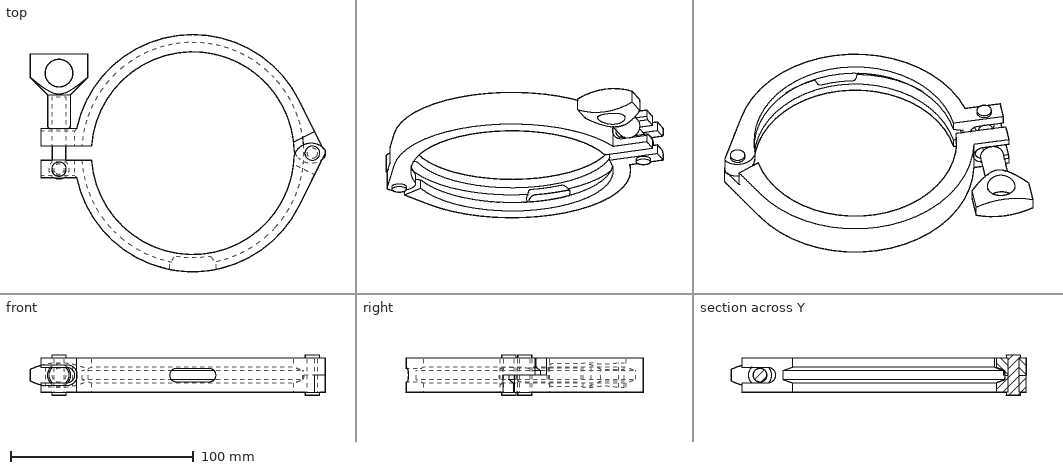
import cadquery as cq
import math

RING_OUTER_RADIUS = 65.0
RING_INNER_RADIUS = 55.5
RING_HEIGHT = 19.0

GROOVE_RADIUS = 60.8
GROOVE_ROOT_HEIGHT = 4.9
GROOVE_FLANK_ANGLE = 20.0

HINGE_X = 65.5
HINGE_END_ANGLE = 26.4
HINGE_FLANK_LENGTH = 19.1
KNUCKLE_CROWN = (65.2, -5.5)
KNUCKLE_TIP_Y = -1.0
KNUCKLE_TIP_FILLET = 2.5
KNUCKLE_INNER_ANGLE = 1.5

ARM_LEFT_X = -83.2
ARM_GAP = 7.8
ARM_THICKNESS = 9.7
SLOT_HEIGHT = 8.4
SLOT_END_X = -69.0
SLOT_CHAMFER = 1.5

WALL_SLOT_LENGTH = 25.2
WALL_SLOT_HEIGHT = 7.5

PIN_HEAD_DIAMETER = 8.0
PIN_SHANK_DIAMETER = 5.7
PIN_LENGTH = 22.2

BOLT_X = -73.3
EYE_DIAMETER = 11.0
ROD_DIAMETER = 7.6
ROD_END_Y = 30.7

NUT_DIAMETER = 12.6
NUT_END_FILLET = 2.1
NUT_SEAT_DEPTH = 0.5
WING_WIDTH = 31.7
WING_THICKNESS = 13.6
WING_TIP_THICKNESS = 6.5
WING_BASE_Y = 31.9
WING_TOP_Y = 54.4
WING_HOLE_DIAMETER = 15.0
WING_HOLE_Y = 43.8

ARM_INNER_Y = ARM_GAP / 2
ARM_OUTER_Y = ARM_INNER_Y + ARM_THICKNESS
BOLT_PIN_Y = -(ARM_INNER_Y + ARM_OUTER_Y) / 2
X_AXIS = ((0, 0, 0), (1, 0, 0))


def polar(radius, angle):
    """Point at a radius and an angle in degrees."""
    return (radius * math.cos(math.radians(angle)), radius * math.sin(math.radians(angle)))


def flank_point(distance):
    """Point on the straight hinge flank, measured from where it leaves the ring."""
    x, y = polar(RING_OUTER_RADIUS, HINGE_END_ANGLE)
    along_x, along_y = polar(distance, HINGE_END_ANGLE - 90)
    return (x + along_x, y + along_y)


def half_layer(inner_end, outer_end, end_crown=None):
    """Half-height plate of the rear half, ended at the hinge by a line or an arc."""
    inner_start = (-math.sqrt(RING_INNER_RADIUS**2 - ARM_INNER_Y**2), ARM_INNER_Y)
    outer_finish = (-math.sqrt(RING_OUTER_RADIUS**2 - ARM_OUTER_Y**2), ARM_OUTER_Y)
    outline = (
        cq.Workplane("XY")
        .moveTo(ARM_LEFT_X, ARM_INNER_Y)
        .lineTo(*inner_start)
        .threePointArc((0, RING_INNER_RADIUS), inner_end)
    )
    if end_crown:
        outline = outline.threePointArc(end_crown, outer_end)
    else:
        outline = outline.lineTo(*outer_end)
    outline = (
        outline.lineTo(*flank_point(0))
        .threePointArc((0, RING_OUTER_RADIUS), outer_finish)
        .lineTo(ARM_LEFT_X, ARM_OUTER_Y)
        .close()
    )
    return outline.extrude(RING_HEIGHT / 2)


def ring_groove():
    """Revolved cutter for the V groove, open to the ring bore."""
    root = GROOVE_ROOT_HEIGHT / 2
    mouth_radius = RING_INNER_RADIUS - 1.6
    mouth = root + (GROOVE_RADIUS - mouth_radius) * math.tan(math.radians(GROOVE_FLANK_ANGLE))
    return (
        cq.Workplane("XZ")
        .polyline([(mouth_radius, -mouth), (GROOVE_RADIUS, -root), (GROOVE_RADIUS, root), (mouth_radius, mouth)])
        .close()
        .revolve(360, (0, 0), (0, 1))
    )


def slot_profile(y, offset):
    """Open-ended slot outline in a plane of constant y, widened by an offset."""
    half_height = SLOT_HEIGHT / 2 + offset
    open_x = ARM_LEFT_X - 1.6
    return (
        cq.Workplane("XZ", origin=(0, y, 0))
        .moveTo(open_x, -half_height)
        .lineTo(SLOT_END_X, -half_height)
        .threePointArc((SLOT_END_X + half_height, 0), (SLOT_END_X, half_height))
        .lineTo(open_x, half_height)
        .close()
    )


def arm_slot():
    """Bolt slot through an arm, chamfered at the arm's outer face."""
    through = slot_profile(ARM_OUTER_Y, 0).extrude(ARM_THICKNESS)
    chamfer = slot_profile(ARM_OUTER_Y, SLOT_CHAMFER).extrude(SLOT_CHAMFER, taper=45)
    return through.union(chamfer)


def pin(x, y):
    """Round pin parallel to Z, with a flat head on each face of the ring."""
    shank = cq.Workplane("XY").circle(PIN_SHANK_DIAMETER / 2).extrude(PIN_LENGTH / 2, both=True)
    heads = (
        cq.Workplane("XY")
        .circle(PIN_HEAD_DIAMETER / 2)
        .extrude(PIN_LENGTH / 2, both=True)
        .cut(cq.Workplane("XY").box(PIN_HEAD_DIAMETER, PIN_HEAD_DIAMETER, RING_HEIGHT))
    )
    return shank.union(heads).translate((x, y, 0))


def clamp_half():
    """Rear half: square shoulder above the mid plane, hinge knuckle below it."""
    shoulder_outer = flank_point(HINGE_FLANK_LENGTH)
    inner_angle = HINGE_END_ANGLE - math.degrees(math.asin(HINGE_FLANK_LENGTH / RING_INNER_RADIUS))
    shoulder_inner = polar(RING_INNER_RADIUS, inner_angle)
    shoulder = half_layer(shoulder_inner, shoulder_outer)

    flank_start_y = flank_point(0)[1]
    tip = flank_point((flank_start_y - KNUCKLE_TIP_Y) / math.cos(math.radians(HINGE_END_ANGLE)))
    inner_end = polar(RING_INNER_RADIUS, KNUCKLE_INNER_ANGLE)
    knuckle = half_layer(inner_end, tip, KNUCKLE_CROWN)
    knuckle = knuckle.edges("|Z").edges(">X").fillet(KNUCKLE_TIP_FILLET)
    body = shoulder.union(knuckle.translate((0, 0, -RING_HEIGHT / 2)))
    return body.cut(ring_groove()).cut(arm_slot()).cut(pin(HINGE_X, 0))


def wall_slot():
    """Round-ended slot through the ring wall on the -Y side."""
    return cq.Workplane("XZ").slot2D(WALL_SLOT_LENGTH, WALL_SLOT_HEIGHT).extrude(RING_OUTER_RADIUS)


def eye_bolt():
    """Rod with a flat-sided ball eye that fits between the slot walls."""
    ball = cq.Workplane("XY").sphere(EYE_DIAMETER / 2)
    flats = cq.Workplane("XY").box(EYE_DIAMETER, EYE_DIAMETER, SLOT_HEIGHT)
    rod = cq.Workplane("XZ").circle(ROD_DIAMETER / 2).extrude(BOLT_PIN_Y - ROD_END_Y)
    bolt = ball.intersect(flats).union(rod).translate((BOLT_X, BOLT_PIN_Y, 0))
    return bolt.cut(pin(BOLT_X, BOLT_PIN_Y))


def wing_nut():
    """Barrel with a domed seat and a broad wing pierced by a round hole."""
    half_width = WING_WIDTH / 2
    half_tip = WING_TIP_THICKNESS / 2
    half_thickness = WING_THICKNESS / 2
    barrel_radius = NUT_DIAMETER / 2
    seat_y = ARM_OUTER_Y - NUT_SEAT_DEPTH

    wing = (
        cq.Workplane("XZ", origin=(0, WING_BASE_Y, 0))
        .moveTo(-half_width, -half_tip)
        .threePointArc((0, -half_thickness), (half_width, -half_tip))
        .lineTo(half_width, half_tip)
        .threePointArc((0, half_thickness), (-half_width, half_tip))
        .close()
        .extrude(WING_BASE_Y - WING_TOP_Y)
    )
    wing_height = WING_TOP_Y - WING_BASE_Y
    cone = (
        cq.Workplane("XY")
        .polyline([
            (0, WING_BASE_Y),
            (barrel_radius, WING_BASE_Y),
            (barrel_radius + wing_height, WING_TOP_Y),
            (0, WING_TOP_Y),
        ])
        .close()
        .revolve(360, (0, 0), (0, 1))
    )
    barrel = (
        cq.Workplane("XZ", origin=(0, seat_y, 0))
        .circle(barrel_radius)
        .extrude(seat_y - WING_BASE_Y)
        .faces("<Y")
        .edges()
        .fillet(NUT_END_FILLET)
    )
    hole = (
        cq.Workplane("XY", origin=(0, WING_HOLE_Y, 0))
        .circle(WING_HOLE_DIAMETER / 2)
        .extrude(half_thickness, both=True)
    )
    bore = (
        cq.Workplane("XZ", origin=(0, seat_y, 0))
        .circle(ROD_DIAMETER / 2)
        .extrude(seat_y - ROD_END_Y)
    )
    nut = wing.intersect(cone).union(barrel).cut(hole).cut(bore)
    return nut.translate((BOLT_X, 0, 0))


rear_half = clamp_half()
front_half = clamp_half().rotate(*X_AXIS, 180).cut(wall_slot()).cut(pin(BOLT_X, BOLT_PIN_Y))
pins = [pin(x, y) for x, y in [(HINGE_X, 0), (BOLT_X, BOLT_PIN_Y)]]
bolt = eye_bolt()
nut = wing_nut()

result = cq.Compound.makeCompound([
    rear_half.val(),
    front_half.val(),
    *[body.val() for body in pins],
    bolt.val(),
    nut.val(),
])